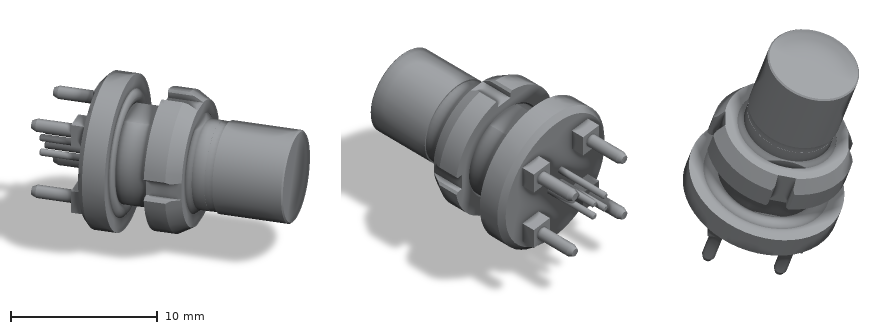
import cadquery as cq
import math


flange_radius = 5.5
flange_thickness = 2.0
flange_chamfer = 0.4

seal_height = 0.26
seal_tube_radius = 0.75
seal_ring_radius = 3.91

neck_radius = 3.5
neck_end = 7.5
flat_half_distance = 3.2

relief_radius = 3.14
relief_end = 8.4
collar_radius = 3.13
barrel_start = 9.0
barrel_radius = 3.24
barrel_end = 14.0
barrel_chamfer = 0.1

mount_offset = 2.54
standoff_side = 1.65
standoff_height = 1.03
mount_pin_radius = 0.46
mount_pin_length = 4.05
mount_tip_radius = 0.3
mount_tip_length = 0.36

contact_offset = 0.56
contact_radius = 0.25
contact_length = 4.1
contact_tip_radius = 0.17
contact_tip_length = 0.08

nut_start = 4.63
nut_end = 7.16
nut_radius = 5.0
nut_bevel_length = 1.0
nut_bevel_angle = 30
nut_bore_chamfer = 0.12
slot_count = 4
slot_width = 1.28
slot_floor_radius = 4.35
slot_cut_margin = 0.22
slot_mouth_radius = 4.77


def revolve_about_x(profile):
    """Turn a closed XY profile (X along the axis, Y the radius) about the X axis."""
    return profile.revolve(360, (0, 0, 0), (1, 0, 0))


def square_positions(offset):
    """Corners of a square that is centred on the axis."""
    return [(y, z) for y in (-offset, offset) for z in (-offset, offset)]


def make_pin(y, z, radius, length, tip_radius, tip_length):
    """Round pin that leaves the flange rear face towards -X and ends in a tapered tip."""
    pin = (
        cq.Workplane("XY")
        .moveTo(0, 0)
        .lineTo(-length, 0)
        .lineTo(-length, tip_radius)
        .lineTo(tip_length - length, radius)
        .lineTo(0, radius)
        .close()
    )
    return revolve_about_x(pin).translate((0, y, z))


def make_flange():
    outline = (
        cq.Workplane("XY")
        .moveTo(0, 0)
        .lineTo(0, flange_radius - flange_chamfer)
        .lineTo(flange_chamfer, flange_radius)
        .lineTo(flange_thickness, flange_radius)
        .lineTo(flange_thickness, 0)
        .close()
    )
    return revolve_about_x(outline)


def make_seal():
    """Round-section ring; only its crown rises above the front face of the flange."""
    tube_centre_x = flange_thickness + seal_height - seal_tube_radius
    tube = cq.Workplane("XY").center(tube_centre_x, seal_ring_radius).circle(seal_tube_radius)
    axis_start = (-tube_centre_x, -seal_ring_radius, 0)
    axis_end = (0, -seal_ring_radius, 0)
    return tube.revolve(360, axis_start, axis_end)


def make_neck_and_sleeve():
    neck_chamfer = neck_radius - relief_radius
    outline = (
        cq.Workplane("XY")
        .moveTo(0, 0)
        .lineTo(0, neck_radius)
        .lineTo(neck_end - neck_chamfer, neck_radius)
        .lineTo(neck_end, relief_radius)
        .lineTo(relief_end, relief_radius)
        .lineTo(relief_end, collar_radius)
        .lineTo(barrel_start, collar_radius)
        .lineTo(barrel_start, barrel_radius)
        .lineTo(barrel_end - barrel_chamfer, barrel_radius)
        .lineTo(barrel_end, barrel_radius - barrel_chamfer)
        .lineTo(barrel_end, 0)
        .close()
    )
    shaft = revolve_about_x(outline)
    waste_height = neck_radius - flat_half_distance
    for side in (-1, 1):
        waste = (
            cq.Workplane("XY")
            .box(neck_end, 2 * neck_radius, waste_height, centered=(False, True, True))
            .translate((0, 0, side * (flat_half_distance + waste_height / 2)))
        )
        shaft = shaft.cut(waste)
    return shaft


def make_housing():
    body = make_neck_and_sleeve().union(make_flange()).union(make_seal())
    for y, z in square_positions(mount_offset):
        standoff = (
            cq.Workplane("XY")
            .box(standoff_height, standoff_side, standoff_side)
            .translate((-standoff_height / 2, y, z))
        )
        pin = make_pin(y, z, mount_pin_radius, mount_pin_length, mount_tip_radius, mount_tip_length)
        body = body.union(standoff).union(pin)
    for y, z in square_positions(contact_offset):
        pin = make_pin(y, z, contact_radius, contact_length, contact_tip_radius, contact_tip_length)
        body = body.union(pin)
    return body


def make_nut_slot():
    """Cutter for one slot at +Z: straight walls that open out in a 45 degree mouth."""
    half_width = slot_width / 2
    mouth_top = nut_radius + slot_cut_margin
    mouth_half_width = half_width + mouth_top - slot_mouth_radius
    return (
        cq.Workplane("YZ", origin=(nut_start, 0, 0))
        .moveTo(-half_width, slot_floor_radius)
        .lineTo(half_width, slot_floor_radius)
        .lineTo(half_width, slot_mouth_radius)
        .lineTo(mouth_half_width, mouth_top)
        .lineTo(-mouth_half_width, mouth_top)
        .lineTo(-half_width, slot_mouth_radius)
        .close()
        .extrude(nut_end - nut_start)
    )


def make_nut():
    """Round nut with a rear bore chamfer; its bore fits the neck and clears the two flats."""
    bevel_drop = nut_bevel_length * math.tan(math.radians(nut_bevel_angle))
    outline = (
        cq.Workplane("XY")
        .moveTo(nut_start + nut_bore_chamfer, neck_radius)
        .lineTo(nut_start, neck_radius + nut_bore_chamfer)
        .lineTo(nut_start, nut_radius)
        .lineTo(nut_end - nut_bevel_length, nut_radius)
        .lineTo(nut_end, nut_radius - bevel_drop)
        .lineTo(nut_end, neck_radius)
        .close()
    )
    nut = revolve_about_x(outline)
    for i in range(slot_count):
        nut = nut.cut(make_nut_slot().rotate((0, 0, 0), (1, 0, 0), i * 360 / slot_count))
    return nut


housing = make_housing()
nut = make_nut()

result = cq.Compound.makeCompound([housing.val(), nut.val()])